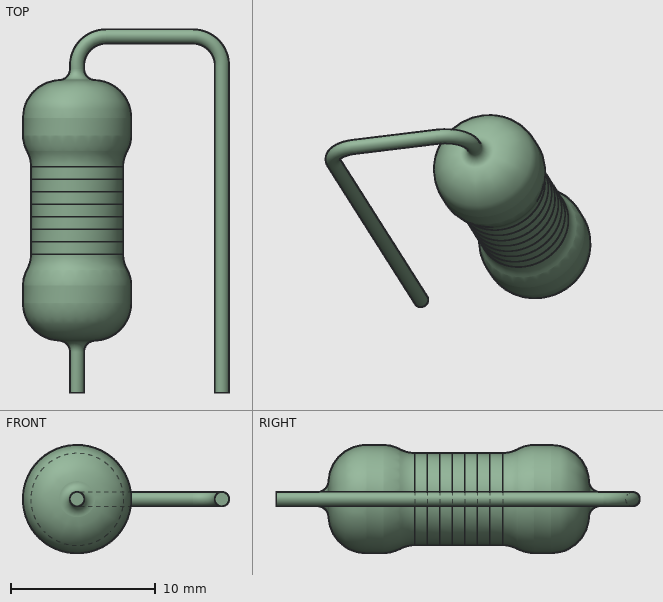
import cadquery as cq
import math


lead_radius = 0.5
lead_pitch = 10.0
bend_radius = 2.0
overall_length = 25.1
return_y = overall_length - lead_radius

body_middle_y = 12.6
body_half_length = 9.0
cap_radius = 7.5 / 2
dome_start = 6.38
cap_inner_end = 5.18
waist_half_length = 3.02
waist_radius = 6.38 / 2
collar_fillet = 0.74
collar_radius = lead_radius + collar_fillet
collar_end = body_half_length + collar_fillet

band_radius = 6.39 / 2
band_count = 4
band_width = 2 * waist_half_length / (2 * band_count - 1)


def dome_point(side):
    """Point 45 degrees along the dome arc from the cap; side is +1 or -1 along Y."""
    length = body_half_length - dome_start
    drop = cap_radius - collar_radius
    arc_radius = (length**2 + drop**2) / (2 * drop)
    mid_angle = math.radians(45)
    radius = cap_radius - arc_radius * (1 - math.cos(mid_angle))
    return (radius, side * (dome_start + arc_radius * math.sin(mid_angle)))


def body_of_revolution():
    """Body and collars, revolved from one profile symmetric about its middle."""
    shoulder_mid_radius = (cap_radius + waist_radius) / 2
    shoulder_mid = (cap_inner_end + waist_half_length) / 2
    collar_arc_offset = collar_fillet * math.sqrt(0.5)
    collar_arc_radius = collar_radius - collar_arc_offset
    collar_arc_end = collar_end - collar_arc_offset
    profile = (
        cq.Workplane("XY")
        .moveTo(0, -collar_end)
        .lineTo(lead_radius, -collar_end)
        .threePointArc((collar_arc_radius, -collar_arc_end), (collar_radius, -body_half_length))
        .threePointArc(dome_point(-1), (cap_radius, -dome_start))
        .lineTo(cap_radius, -cap_inner_end)
        .tangentArcPoint((shoulder_mid_radius, -shoulder_mid), relative=False)
        .tangentArcPoint((waist_radius, -waist_half_length), relative=False)
        .lineTo(waist_radius, waist_half_length)
        .tangentArcPoint((shoulder_mid_radius, shoulder_mid), relative=False)
        .tangentArcPoint((cap_radius, cap_inner_end), relative=False)
        .lineTo(cap_radius, dome_start)
        .threePointArc(dome_point(1), (collar_radius, body_half_length))
        .threePointArc((collar_arc_radius, collar_arc_end), (lead_radius, collar_end))
        .lineTo(0, collar_end)
        .close()
    )
    return profile.revolve(360, (0, 0, 0), (0, 1, 0))


def disc(radius, start_y, length):
    """Cylinder on the body axis running from start_y towards +Y."""
    axis = cq.Vector(0, 1, 0)
    return cq.Workplane(cq.Solid.makeCylinder(radius, length, cq.Vector(0, start_y, 0), axis))


def body():
    solid = body_of_revolution()
    for index in range(band_count):
        band_start = -waist_half_length + 2 * index * band_width
        solid = solid.union(disc(band_radius, band_start, band_width))
    return solid.translate((0, body_middle_y, 0))


def straight_lead():
    return disc(lead_radius, 0, body_middle_y - collar_end)


def bent_lead():
    """Lead leaving the +Y end, crossing over in +X and returning to Y = 0."""
    start_y = body_middle_y + collar_end
    bend_start_y = return_y - bend_radius
    path = (
        cq.Workplane("XY")
        .moveTo(0, start_y)
        .lineTo(0, bend_start_y)
        .tangentArcPoint((bend_radius, return_y), relative=False)
        .lineTo(lead_pitch - bend_radius, return_y)
        .tangentArcPoint((lead_pitch, bend_start_y), relative=False)
        .lineTo(lead_pitch, 0)
    )
    section = cq.Workplane("XZ", origin=(0, start_y, 0)).circle(lead_radius)
    return section.sweep(path)


result = body().union(straight_lead()).union(bent_lead())